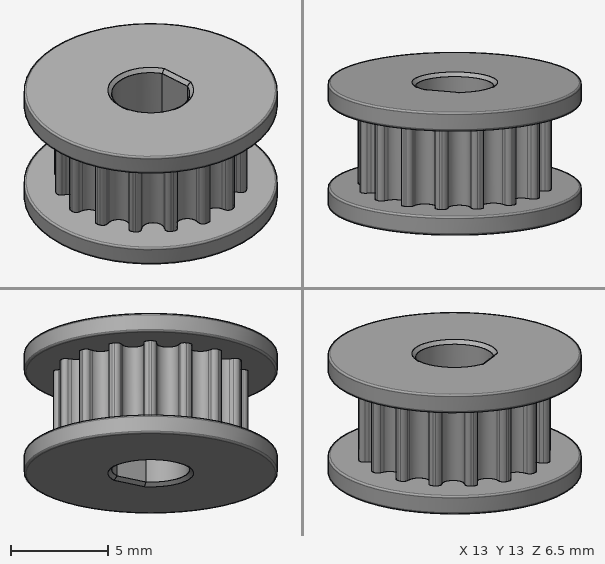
import cadquery as cq
import math

flange_diameter = 13.0
height = 6.5
flange_thickness = 1.0
flange_edge_radius = 0.1

tooth_count = 16
tip_radius = 4.99
tooth_width = 0.65
tooth_corner_radius = 0.26
groove_center_radius = 4.62

bore_radius = 2.0
bore_flat_distance = 1.8
bore_chamfer = 0.2

barrel_height = height - 2 * flange_thickness
half_pitch = math.pi / tooth_count
half_width = tooth_width / 2


def polar(radius, angle):
    """Point at a radius and an angle measured from +X."""
    return (radius * math.cos(angle), radius * math.sin(angle))


def from_tooth_axis(along, across, axis_angle):
    """Point given along and across the centre line of a tooth."""
    cosine = math.cos(axis_angle)
    sine = math.sin(axis_angle)
    return (along * cosine - across * sine, along * sine + across * cosine)


def toothed_barrel():
    corner_center_across = half_width - tooth_corner_radius
    corner_center_radius = tip_radius - tooth_corner_radius
    corner_center_along = math.sqrt(corner_center_radius**2 - corner_center_across**2)
    tip_half_angle = math.asin(corner_center_across / corner_center_radius)
    corner_mid_angle = (math.pi / 2 + tip_half_angle) / 2
    corner_mid_along = corner_center_along + tooth_corner_radius * math.cos(corner_mid_angle)
    corner_mid_across = corner_center_across + tooth_corner_radius * math.sin(corner_mid_angle)

    groove_radius = groove_center_radius * math.sin(half_pitch) - half_width
    floor_radius = groove_center_radius - groove_radius
    side_start_along = groove_center_radius * math.cos(half_pitch)

    first_axis = half_pitch
    outline = cq.Workplane("XY").workplane(offset=-barrel_height / 2)
    outline = outline.moveTo(*from_tooth_axis(side_start_along, -half_width, first_axis))
    for tooth in range(tooth_count):
        axis = first_axis + 2 * half_pitch * tooth
        next_axis = axis + 2 * half_pitch
        outline = (
            outline.lineTo(*from_tooth_axis(corner_center_along, -half_width, axis))
            .threePointArc(
                from_tooth_axis(corner_mid_along, -corner_mid_across, axis),
                polar(tip_radius, axis - tip_half_angle),
            )
            .threePointArc(
                polar(tip_radius, axis),
                polar(tip_radius, axis + tip_half_angle),
            )
            .threePointArc(
                from_tooth_axis(corner_mid_along, corner_mid_across, axis),
                from_tooth_axis(corner_center_along, half_width, axis),
            )
            .lineTo(*from_tooth_axis(side_start_along, half_width, axis))
            .threePointArc(
                polar(floor_radius, axis + half_pitch),
                from_tooth_axis(side_start_along, -half_width, next_axis),
            )
        )
    return outline.close().extrude(barrel_height)


def flange(bottom):
    return (
        cq.Workplane("XY")
        .workplane(offset=bottom)
        .circle(flange_diameter / 2)
        .extrude(flange_thickness)
        .edges("%CIRCLE")
        .fillet(flange_edge_radius)
    )


def d_bore():
    flat_half_width = math.sqrt(bore_radius**2 - bore_flat_distance**2)
    return (
        cq.Workplane("XY")
        .workplane(offset=-height / 2)
        .moveTo(flat_half_width, bore_flat_distance)
        .lineTo(-flat_half_width, bore_flat_distance)
        .threePointArc((0, -bore_radius), (flat_half_width, bore_flat_distance))
        .close()
        .extrude(height)
    )


pulley = toothed_barrel().union(flange(-height / 2)).union(flange(barrel_height / 2)).cut(d_bore())

mouth_edges = pulley.faces("<Z or >Z").edges().filter(lambda edge: edge.BoundingBox().xmax < tip_radius)
result = mouth_edges.chamfer(bore_chamfer)